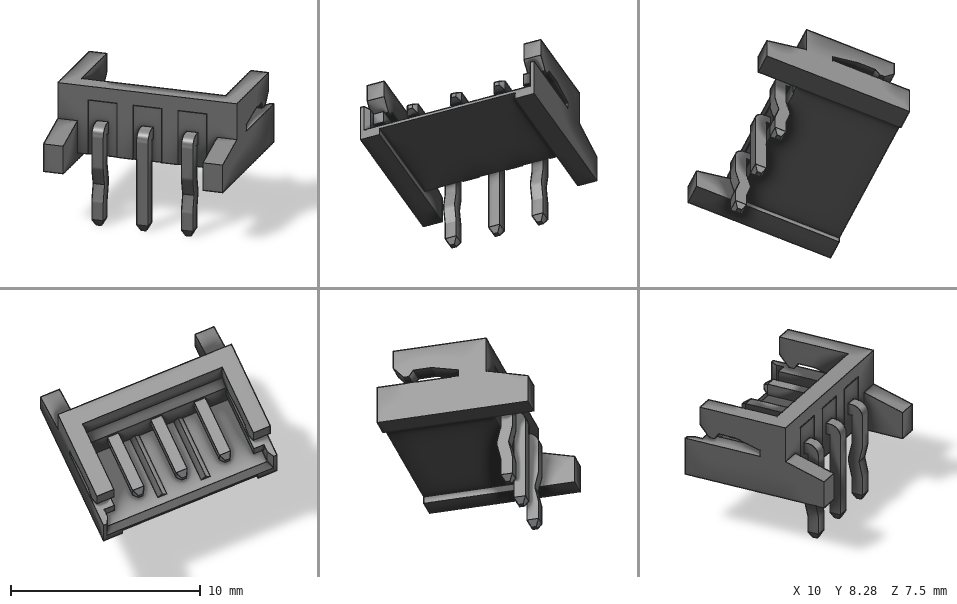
import cadquery as cq
import math

width = 10.0
half_width = width / 2
height = 4.2
body_depth = 5.98
overshoot = 0.1

floor_bottom = 0.39
floor_top = 0.78
back_wall = 1.52
back_wall_rim = 1.01
arm_root_underside = 2.5
ledge_low = arm_root_underside
ledge_high = 2.78

side_wall = 0.98
side_wall_top = 2.14
leg_width = 1.1
leg_length = 2.3
leg_root_top = 2.19
leg_tip_top = 1.55
arm_end = 5.1
arm_end_bottom = 3.17
hook_bottom = 2.53
hook_outer = 4.54
hook_inner = 4.24
hook_root = 3.99
arm_underside = 2.88
arm_taper_end = 3.0

pocket_half = half_width - side_wall
wide_half = 4.6
undercut_top = 1.45
mouth_start = 5.16
mouth_bevel_depth = 0.39
mouth_bevel = 0.2

pin_pitch = 2.5
pin_size = 0.64
pin_top = 2.31
pin_front = -0.82
pin_end = mouth_start
pin_bottom = -3.3
pin_tip_size = 0.26
mating_tip_length = 0.32
solder_tip_length = 0.36
kink_angle = math.radians(13)
kink_top = 0.0
kink_bottom = -1.98

window_width = 1.6
window_top = 3.42
window_depth = 0.05
rib_width = 0.52
rib_height = 0.26


def box(x0, x1, y0, y1, z0, z1):
    """Box between opposite corners."""
    return cq.Workplane("XY").box(x1 - x0, y1 - y0, z1 - z0, centered=False).translate((x0, y0, z0))


def side_prism(points, x0, x1):
    """Extrude a closed (Y, Z) outline from x0 to x1."""
    return cq.Workplane("YZ", origin=(x0, 0, 0)).polyline(points).close().extrude(x1 - x0)


def make_side(sign):
    """Side wall with its mounting leg and the hooked arm above the slot."""
    wall_outline = [
        (-leg_length, 0),
        (body_depth, 0),
        (body_depth, side_wall_top),
        (0, side_wall_top),
        (0, leg_root_top),
        (-leg_length, leg_tip_top),
    ]
    arm_outline = [
        (0, side_wall_top),
        (back_wall, side_wall_top),
        (back_wall, arm_root_underside),
        (arm_taper_end, arm_underside),
        (hook_root, arm_underside),
        (hook_inner, hook_bottom),
        (hook_outer, hook_bottom),
        (arm_end, arm_end_bottom),
        (arm_end, height),
        (0, height),
    ]
    outer = sign * half_width
    wall = side_prism(wall_outline, outer, outer - sign * leg_width)
    arm = side_prism(arm_outline, outer, outer - sign * side_wall)
    return wall.union(arm)


def make_back_wall():
    """Wall between the two sides, with a sloping ledge on its inner face."""
    outline = [
        (0, floor_bottom),
        (back_wall, floor_bottom),
        (back_wall, ledge_low),
        (back_wall_rim, ledge_high),
        (back_wall_rim, height),
        (0, height),
    ]
    return side_prism(outline, -pocket_half, pocket_half)


def mouth_section(y, flare):
    """Wire of the mouth opening at depth y, widened by the flare on both sides and the floor."""
    half = wide_half + flare
    bottom = floor_top - flare
    top = side_wall_top + overshoot
    corners = [(-half, bottom), (half, bottom), (half, top), (-half, top)]
    return cq.Wire.makePolygon([cq.Vector(x, y, z) for x, z in corners], close=True)


def make_pocket():
    """Space below the arms: channel, undercut beside the floor and flared mouth."""
    top = side_wall_top + overshoot
    channel = box(-pocket_half, pocket_half, back_wall, body_depth, floor_top, top)
    undercut = box(-wide_half, wide_half, back_wall, mouth_start, floor_top, undercut_top)
    mouth = box(-wide_half, wide_half, mouth_start, body_depth, floor_top, top)
    bevel_start = body_depth - mouth_bevel_depth
    flare = cq.Solid.makeLoft(
        [mouth_section(bevel_start, 0), mouth_section(body_depth, mouth_bevel)], True
    )
    return channel.union(undercut).union(mouth).union(cq.Workplane(flare))


def make_rib(x):
    """Triangular rib on the floor between two pins."""
    return (
        cq.Workplane("XZ", origin=(x, back_wall, floor_top))
        .polyline([(-rib_width / 2, 0), (rib_width / 2, 0), (0, rib_height)])
        .close()
        .extrude(-(mouth_start - back_wall))
    )


def make_window(x):
    """Shallow recess in the -Y face around one pin."""
    half = window_width / 2
    return box(x - half, x + half, -overshoot, window_depth, floor_bottom - overshoot, window_top)


def offset_point(hinge, distance, angle):
    """Point at a distance from a bend hinge in the YZ plane."""
    y, z = hinge
    return (y + distance * math.cos(angle), z + distance * math.sin(angle))


def make_pin(x, kinked):
    """Square right-angle pin; each bend is sharp inside and round outside."""
    pin_back = pin_front + pin_size
    elbow = (pin_back, pin_top - pin_size)
    straight_end = pin_end - mating_tip_length
    straight_bottom = pin_bottom + solder_tip_length

    outline = (
        cq.Workplane("YZ", origin=(x - pin_size / 2, 0, 0))
        .moveTo(straight_end, elbow[1])
        .lineTo(straight_end, pin_top)
        .lineTo(pin_back, pin_top)
        .threePointArc(offset_point(elbow, pin_size, math.radians(135)), (pin_front, elbow[1]))
    )
    if kinked:
        upper = (pin_back, kink_top)
        lower = (pin_back, kink_bottom)
        middle_z = (kink_top + kink_bottom) / 2
        toward_front = math.pi
        upper_arc_end = offset_point(upper, pin_size, toward_front + kink_angle)
        lower_arc_start = offset_point(lower, pin_size, toward_front - kink_angle)
        middle_y = upper_arc_end[0] + (upper_arc_end[1] - middle_z) * math.tan(kink_angle)
        middle = (middle_y, middle_z)
        outline = (
            outline.lineTo(pin_front, kink_top)
            .threePointArc(offset_point(upper, pin_size, toward_front + kink_angle / 2), upper_arc_end)
            .lineTo(*middle)
            .lineTo(*lower_arc_start)
            .threePointArc(
                offset_point(lower, pin_size, toward_front - kink_angle / 2), (pin_front, kink_bottom)
            )
            .lineTo(pin_front, straight_bottom)
            .lineTo(pin_back, straight_bottom)
            .lineTo(*lower)
            .lineTo(*offset_point(middle, pin_size, -kink_angle))
            .threePointArc(
                offset_point(middle, pin_size, 0), offset_point(middle, pin_size, kink_angle)
            )
            .lineTo(*upper)
        )
    else:
        outline = outline.lineTo(pin_front, straight_bottom).lineTo(pin_back, straight_bottom)
    shaft = outline.lineTo(*elbow).close().extrude(pin_size)

    mating_tip = (
        cq.Workplane("XZ", origin=(x, straight_end, pin_top - pin_size / 2))
        .rect(pin_size, pin_size)
        .workplane(offset=-mating_tip_length)
        .rect(pin_tip_size, pin_tip_size)
        .loft()
    )
    solder_tip = (
        cq.Workplane("XY", origin=(x, pin_front + pin_size / 2, straight_bottom))
        .rect(pin_size, pin_size)
        .workplane(offset=-solder_tip_length)
        .rect(pin_tip_size, pin_tip_size)
        .loft()
    )
    return shaft.union(mating_tip).union(solder_tip)


floor = box(-pocket_half, pocket_half, 0, body_depth, floor_bottom, floor_top)
housing = floor.union(make_back_wall())
for sign in (-1, 1):
    housing = housing.union(make_side(sign))
housing = housing.cut(make_pocket())

for x in (-pin_pitch / 2, pin_pitch / 2):
    housing = housing.union(make_rib(x))

pin_positions = [-pin_pitch, 0, pin_pitch]
for x in pin_positions:
    housing = housing.cut(make_window(x))

result = housing
for x in pin_positions:
    result = result.union(make_pin(x, kinked=x != 0))